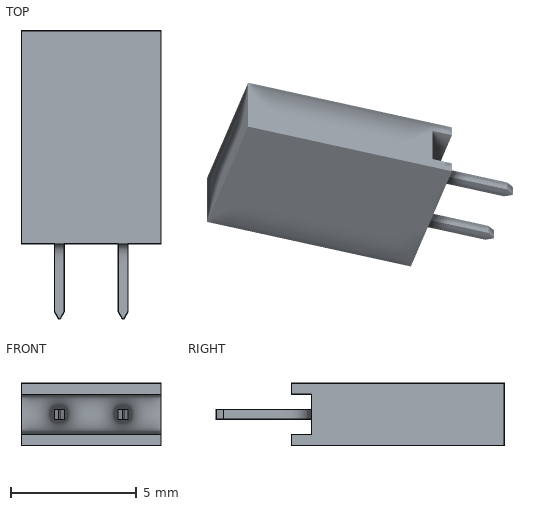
import cadquery as cq

body_width = 5.58
body_length = 8.5
body_height = 2.5
lip_thickness = 0.45
recess_depth = 0.8

overall_length = 11.5
pin_pitch = 2.54
pin_size = 0.4
tip_length = 0.3
tip_width = 0.06

recess_height = body_height - 2 * lip_thickness
pin_tip_y = body_length - overall_length
pin_shoulder_y = pin_tip_y + tip_length


def make_housing():
    """Block with a channel across its front face, leaving a lip above and below."""
    block = cq.Workplane("XY").box(body_width, body_length, body_height, centered=(True, False, True))
    channel = cq.Workplane("XY").box(body_width, recess_depth, recess_height, centered=(True, False, True))
    return block.cut(channel)


def make_pin(center_x):
    """Square pin from the channel floor, with its two sides tapered to the tip."""
    half_pin = pin_size / 2
    half_tip = tip_width / 2
    return (
        cq.Workplane("XY")
        .polyline([
            (center_x - half_pin, recess_depth),
            (center_x - half_pin, pin_shoulder_y),
            (center_x - half_tip, pin_tip_y),
            (center_x + half_tip, pin_tip_y),
            (center_x + half_pin, pin_shoulder_y),
            (center_x + half_pin, recess_depth),
        ])
        .close()
        .extrude(half_pin, both=True)
    )


result = make_housing()
for side in (-1, 1):
    result = result.union(make_pin(side * pin_pitch / 2))